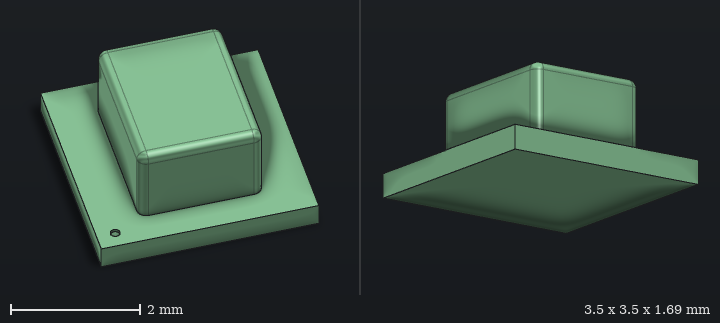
import cadquery as cq

board_side = 3.5
board_thickness = 0.4

total_height = 1.69
block_length = 2.5
block_width = 2.0
block_height = total_height - board_thickness
edge_radius = 0.15

mark_diameter = 0.15
mark_depth = 0.05
mark_edge_distance_x = 0.275
mark_edge_distance_y = 0.3


def make_board():
    """Square board with its underside at Z = 0 and a recessed orientation mark."""
    board = cq.Workplane("XY").box(board_side, board_side, board_thickness, centered=(True, True, False))
    mark_x = board_side / 2 - mark_edge_distance_x
    mark_y = -board_side / 2 + mark_edge_distance_y
    mark = (
        cq.Workplane("XY", origin=(mark_x, mark_y, board_thickness - mark_depth))
        .circle(mark_diameter / 2)
        .extrude(mark_depth)
    )
    return board.cut(mark)


def make_block():
    """Block resting on the board, rounded on its upright and top edges."""
    return (
        cq.Workplane("XY", origin=(0, 0, board_thickness))
        .box(block_length, block_width, block_height, centered=(True, True, False))
        .edges("|Z or >Z")
        .fillet(edge_radius)
    )


board = make_board()
block = make_block()

result = cq.Compound.makeCompound([board.val(), block.val()])